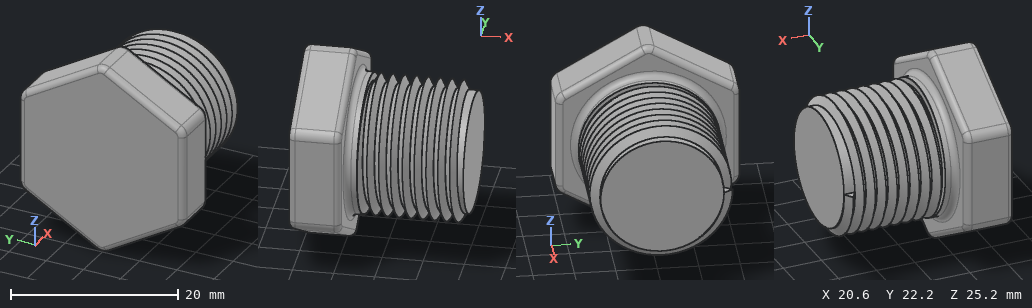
import cadquery as cq
import math

across_corners = 25.2
corner_radius = 1.5
head_thickness = 6.35
head_edge_fillet = 0.8
head_sides = 6
flat_to_corner = math.cos(math.pi / head_sides)
sharp_radius = across_corners / 2 + corner_radius * (1 / flat_to_corner - 1)

neck_diameter = 17.15
neck_length = 1.54
neck_fillet = 0.8
neck_end = head_thickness + neck_length

total_length = 20.63
core_diameter = 14.85
crest_diameter = 17.13
pitch = 1.44
ridge_sink = 0.013
root_gap = 0.01
keel_depth = 0.5
thread_start = total_length - pitch / 2
turns = math.ceil((thread_start + pitch / 2 - neck_end) / pitch)


def make_head():
    """Rounded hexagon with one corner pointing up +Z and flats on +Y and -Y."""
    corner_angles = [math.pi / 2 + 2 * math.pi * i / head_sides for i in range(head_sides)]
    corners = [(sharp_radius * math.cos(a), sharp_radius * math.sin(a)) for a in corner_angles]
    blank = cq.Workplane("YZ").polyline(corners).close().extrude(head_thickness)
    rounded = blank.edges("|X").fillet(corner_radius)
    return rounded.faces("<X or >X").edges().fillet(head_edge_fillet)


def make_neck():
    """Neck with a concave fillet where it meets the head, revolved about X."""
    radius = neck_diameter / 2
    buried_end = head_thickness / 2
    return (
        cq.Workplane("XY")
        .moveTo(buried_end, 0)
        .lineTo(buried_end, radius + neck_fillet)
        .lineTo(head_thickness, radius + neck_fillet)
        .radiusArc((head_thickness + neck_fillet, radius), -neck_fillet)
        .lineTo(neck_end, radius)
        .lineTo(neck_end, 0)
        .close()
        .revolve(360, (0, 0, 0), (1, 0, 0))
    )


def thread_helix(radius, axial_offset):
    """Right-handed helix about X that ends on the +Y side, offset from the crest's end."""
    helix = cq.Wire.makeHelix(pitch, turns * pitch, radius)
    helix = helix.rotate(cq.Vector(0, 0, 0), cq.Vector(1, 1, 1), 120)
    return helix.translate(cq.Vector(thread_start - turns * pitch + axial_offset, 0, 0))


def make_thread():
    """Helical V ridge whose flanks dip into the core, running out inside the neck."""
    core_radius = core_diameter / 2
    root_radius = core_radius - ridge_sink
    half_width = (pitch - root_gap) / 2
    corners = [
        thread_helix(crest_diameter / 2, 0),
        thread_helix(root_radius, half_width),
        thread_helix(core_radius - keel_depth, 0),
        thread_helix(root_radius, -half_width),
    ]
    faces = []
    for i in range(len(corners)):
        faces += cq.Face.makeRuledSurface(corners[i - 1], corners[i]).Faces()
    start_points = [corner.startPoint() for corner in corners]
    end_points = [corner.endPoint() for corner in corners]
    for points in (start_points, end_points):
        faces.append(cq.Face.makeFromWires(cq.Wire.makePolygon(points, close=True)))
    return cq.Workplane(cq.Solid.makeSolid(cq.Shell.makeShell(faces)).fix())


def make_core():
    return (
        cq.Workplane("YZ", origin=(head_thickness, 0, 0))
        .circle(core_diameter / 2)
        .extrude(total_length - head_thickness)
    )


result = make_head().union(make_neck()).union(make_core()).union(make_thread()).solids()